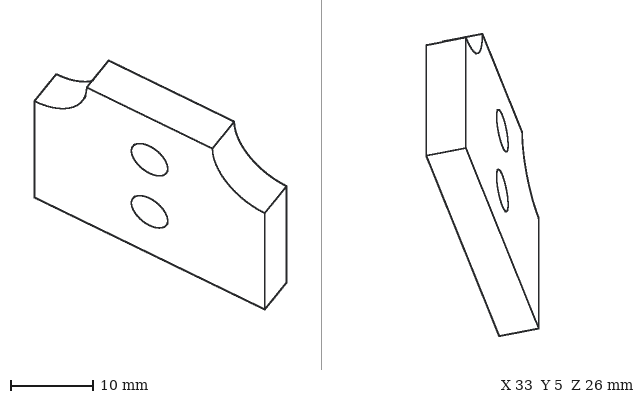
import cadquery as cq

width = 33.0
thickness = 5.0
height = 26.0

corner_radius = 7.5

hole_diameter = 5.2
lower_hole_height = 8.0
hole_spacing = 10.0


def cylinder_along_y(x, z, radius):
    """Cylinder through the full plate thickness, centred at (x, z)."""
    axis = cq.Vector(0, 1, 0)
    start = cq.Vector(x, -thickness / 2, z)
    return cq.Workplane(obj=cq.Solid.makeCylinder(radius, thickness, start, axis))


result = cq.Workplane("XY").box(width, thickness, height, centered=(True, True, False))

for side in (-1, 1):
    result = result.cut(cylinder_along_y(side * width / 2, height, corner_radius))

for hole_height in (lower_hole_height, lower_hole_height + hole_spacing):
    result = result.cut(cylinder_along_y(0, hole_height, hole_diameter / 2))